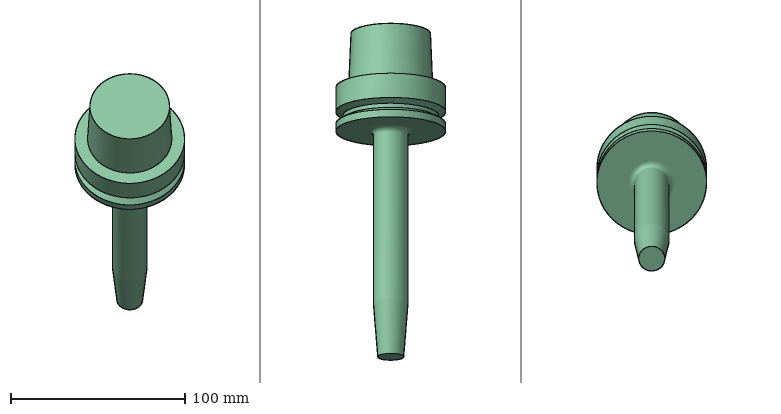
import cadquery as cq
import math

total_length = 192.0
shank_length = 32.0
flange_length = 26.0
tip_length = 31.9

shank_top_diameter = 45.7
shank_base_diameter = 48.4
flange_diameter = 63.0
groove_diameter = 55.0
stem_diameter = 20.0
tip_diameter = 15.0

groove_offset = 14.4
groove_width = 7.1
groove_wall_angle = 30.0
stem_fillet_radius = 3.0

flange_top = total_length - shank_length
flange_bottom = flange_top - flange_length
groove_top = flange_top - groove_offset
groove_bottom = groove_top - groove_width

flange_radius = flange_diameter / 2
groove_radius = groove_diameter / 2
stem_radius = stem_diameter / 2
groove_wall_height = (flange_radius - groove_radius) * math.tan(math.radians(groove_wall_angle))

fillet_center_radius = stem_radius + stem_fillet_radius
fillet_start = flange_bottom - stem_fillet_radius
fillet_reach = stem_fillet_radius * math.sqrt(0.5)
fillet_middle = (fillet_center_radius - fillet_reach, fillet_start + fillet_reach)

profile = (
    cq.Workplane("XZ")
    .lineTo(tip_diameter / 2, 0)
    .lineTo(stem_radius, tip_length)
    .lineTo(stem_radius, fillet_start)
    .threePointArc(fillet_middle, (fillet_center_radius, flange_bottom))
    .lineTo(flange_radius, flange_bottom)
    .lineTo(flange_radius, groove_bottom)
    .lineTo(groove_radius, groove_bottom + groove_wall_height)
    .lineTo(groove_radius, groove_top - groove_wall_height)
    .lineTo(flange_radius, groove_top)
    .lineTo(flange_radius, flange_top)
    .lineTo(shank_base_diameter / 2, flange_top)
    .lineTo(shank_top_diameter / 2, total_length)
    .lineTo(0, total_length)
    .close()
)

result = profile.revolve(360, (0, 0, 0), (0, 1, 0))